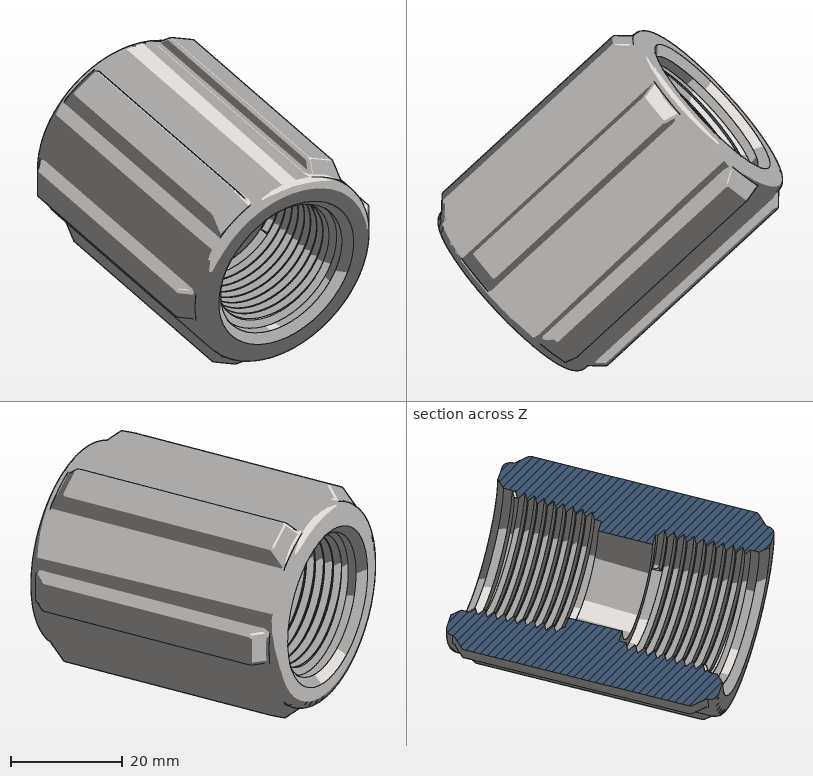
import cadquery as cq
import math

length = 50.8
body_radius = 38.1 / 2
end_fillet = 1.524
bore_radius = 19.05 / 2

rib_count = 6
rib_tip_radius = 42.67 / 2
rib_half_width = 3.175
rib_fillet = 0.762
rib_end_gap = 4.1
rib_root_radius = body_radius - 1.5
rib_lean = math.radians(360 / rib_count / 2)

countersink_depth = 1.524
relief_radius = 13.38
mouth_radius = relief_radius + countersink_depth
relief_length = 1.6
lead_in_depth = 0.8
crest_radius = 12.14
socket_depth = 20.32

thread_pitch = 25.4 / 14
thread_taper = math.atan(1 / 32)
thread_half_angle = math.radians(30)
thread_depth = 1.4
thread_overlap = 0.05
thread_start = 3.7
thread_end_gap = 1.0

tolerance = 0.01


def plain_body():
    return cq.Workplane("YZ").circle(body_radius).extrude(length / 2, both=True)


def end_rounding():
    """Rings of material outside the rounded rims, one at each end."""
    rim_start = length / 2 - end_fillet
    rim_radius = body_radius - end_fillet
    arc_offset = end_fillet * math.sqrt(0.5)
    outer_x = length / 2 + end_fillet
    ring = (
        cq.Workplane("XY")
        .moveTo(rim_start, body_radius)
        .threePointArc(
            (rim_start + arc_offset, rim_radius + arc_offset),
            (length / 2, rim_radius),
        )
        .lineTo(outer_x, rim_radius)
        .lineTo(outer_x, rib_tip_radius)
        .lineTo(rim_start, rib_tip_radius)
        .close()
        .revolve(360, (0, 0, 0), (1, 0, 0))
    )
    return ring.union(ring.mirror("YZ"))


def rib_blank(lean_angle):
    """Rib pointing along +Y, its +Z flank leaning outward towards the root by lean_angle."""
    root_spread = (rib_tip_radius - rib_root_radius) * math.tan(lean_angle)
    section = [
        (rib_root_radius, -rib_half_width),
        (rib_tip_radius, -rib_half_width),
        (rib_tip_radius, rib_half_width),
        (rib_root_radius, rib_half_width + root_spread),
    ]
    bar = cq.Workplane("YZ").polyline(section).close().extrude(length / 2, both=True)

    flat_half = length / 2 - rib_end_gap
    slope_foot = rib_tip_radius - rib_end_gap
    side_outline = [
        (-flat_half, rib_tip_radius),
        (flat_half, rib_tip_radius),
        (length / 2, slope_foot),
        (-length / 2, slope_foot),
    ]
    side_plate = cq.Workplane("XY").polyline(side_outline).close().extrude(rib_tip_radius, both=True)
    blank = bar.intersect(side_plate)

    exposed_edges = [edge for edge in blank.edges().vals() if edge.Center().y > rib_root_radius + tolerance]
    return blank.newObject(exposed_edges).fillet(rib_fillet)


def is_rib_root(edge):
    """True for an edge that lies on the body surface on the +Y side, between the end faces."""
    samples = [edge.positionAt(fraction) for fraction in (0, 0.3, 0.5, 1)]
    on_surface = all(abs(math.hypot(p.y, p.z) - body_radius) < tolerance for p in samples)
    faces_rib = edge.Center().y > body_radius / 2
    between_ends = abs(edge.Center().x) < length / 2 - tolerance
    return on_surface and faces_rib and between_ends


def body_with_rib(lean_angle):
    """Plain body carrying one rib on its +Y side, blended in with a fillet all round."""
    ribbed = plain_body().union(rib_blank(lean_angle))
    roots = [edge for edge in ribbed.edges().vals() if is_rib_root(edge)]
    return ribbed.newObject(roots).fillet(rib_fillet)


def ribbed_body():
    straight = body_with_rib(0)
    leaning = body_with_rib(rib_lean)
    sequence = (straight, leaning.mirror("XY"), leaning)
    body = plain_body()
    for index in range(rib_count):
        segment = sequence[index % len(sequence)]
        body = body.union(segment.rotate((0, 0, 0), (1, 0, 0), index * 360 / rib_count))
    return body.cut(end_rounding())


def socket():
    """Socket cavity opening at x = 0 and running along +X."""
    relief_end = countersink_depth + relief_length
    lead_in_end = relief_end + lead_in_depth
    shoulder_radius = crest_radius - (socket_depth - lead_in_end) * math.tan(thread_taper)
    profile = [
        (0, 0),
        (0, mouth_radius),
        (countersink_depth, relief_radius),
        (relief_end, relief_radius),
        (lead_in_end, crest_radius),
        (socket_depth, shoulder_radius),
        (socket_depth, 0),
    ]
    return cq.Workplane("XY").polyline(profile).close().revolve(360, (0, 0, 0), (1, 0, 0))


def thread_groove():
    """Right-hand V groove around X, narrowing with the taper, for a socket opening at x = 0."""
    groove_height = thread_depth + thread_overlap
    half_base = groove_height * math.tan(thread_half_angle)
    base_radius = crest_radius - thread_overlap
    helix_height = socket_depth - thread_start - thread_end_gap
    helix = cq.Wire.makeHelix(thread_pitch, helix_height, crest_radius, angle=-math.degrees(thread_taper))
    section = [
        (base_radius, -half_base),
        (base_radius + groove_height, 0),
        (base_radius, half_base),
    ]
    groove = cq.Workplane("XZ").polyline(section).close().sweep(cq.Workplane(helix), isFrenet=True)
    groove = groove.rotate((0, 0, 0), (0, 0, 1), 90).rotate((0, 0, 0), (0, 1, 0), 90)
    return groove.translate((thread_start, 0, 0))


result = ribbed_body()
result = result.cut(cq.Workplane("YZ").circle(bore_radius).extrude(length / 2, both=True))
for cavity in (socket(), thread_groove()):
    end_cavity = cavity.translate((-length / 2, 0, 0))
    result = result.cut(end_cavity)
    result = result.cut(end_cavity.rotate((0, 0, 0), (0, 0, 1), 180))